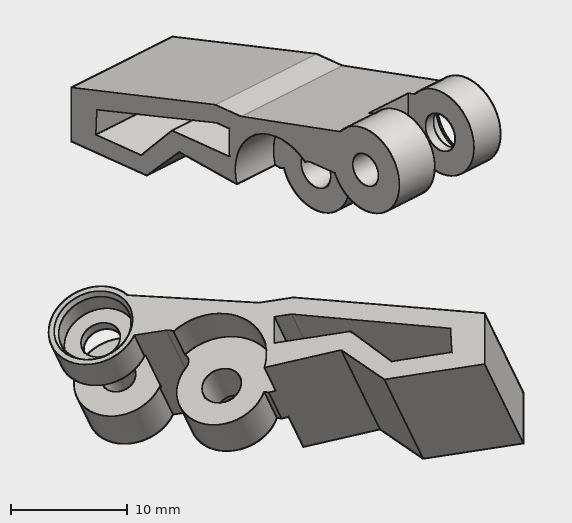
import cadquery as cq
import math

LENGTH = 38.68
WIDTH = 12.6
HEIGHT = 14.15

EYE_RADIUS = 4.0
FORK_X = LENGTH - EYE_RADIUS
FORK_Z = HEIGHT - EYE_RADIUS
FORK_HOLE_DIAMETER = 3.0
FRONT_EAR_WIDTH = 4.4
BACK_EAR_WIDTH = 3.33
FORK_GAP = WIDTH - FRONT_EAR_WIDTH - BACK_EAR_WIDTH
FORK_GAP_Y = (FRONT_EAR_WIDTH - BACK_EAR_WIDTH) / 2
FORK_GAP_START = 30.95
RECESS_DIAMETER = 6.42
MOUTH_DIAMETER = 6.95
MOUTH_DEPTH = 0.45
RECESS_FLOOR = 1.0
BACK_HOLE_DIAMETER = 3.5

PIVOT_X = 24.33
PIVOT_Z = 4.5
PIVOT_HOLE_DIAMETER = 3.5
SIDE_CLEARANCE = 0.35
PIVOT_WIDTH = FORK_GAP - 2 * SIDE_CLEARANCE
CLEARANCE_RADIUS = 5.0

TAIL_HEIGHT = 5.25
TAIL_FOOT = 8.9
FLAT_START_X = 16.95
FLAT_END_X = 20.0
FLAT_Z = 9.9
EAR_JOIN_X = 31.68
EAR_JOIN_Z = 12.75
NECK_BOTTOM_Z = 8.5
KNEE_X = 12.73
KNEE_Z = 3.7
WEB_END_X = 20.15
WEB_END_Z = 3.05
NECK_FILLET = 0.95

WINDOW_POINTS = [
    (2.9, 1.75),
    (8.25, 1.75),
    (11.87, 5.5),
    (18.65, 5.5),
    (18.65, 8.2),
    (17.15, 8.2),
    (3.0, 4.2),
]


def across(sketch, width):
    """Extrude an XZ profile symmetrically about the middle of the width."""
    return sketch.extrude(width / 2, both=True)


def cylinder(x, z, radius, width):
    return across(cq.Workplane("XZ").center(x, z).circle(radius), width)


def make_arm():
    fillet_z = NECK_BOTTOM_Z - NECK_FILLET
    reach = EYE_RADIUS + NECK_FILLET
    fillet_x = PIVOT_X + math.sqrt(reach**2 - (fillet_z - PIVOT_Z) ** 2)
    share = EYE_RADIUS / reach
    touch_x = PIVOT_X + share * (fillet_x - PIVOT_X)
    touch_z = PIVOT_Z + share * (fillet_z - PIVOT_Z)
    start_angle = math.pi / 2
    end_angle = math.atan2(touch_z - fillet_z, touch_x - fillet_x) % (2 * math.pi)
    middle_angle = (start_angle + end_angle) / 2
    middle = (
        fillet_x + NECK_FILLET * math.cos(middle_angle),
        fillet_z + NECK_FILLET * math.sin(middle_angle),
    )
    profile = (
        cq.Workplane("XZ")
        .moveTo(0, 0)
        .lineTo(TAIL_FOOT, 0)
        .lineTo(KNEE_X, KNEE_Z)
        .lineTo(WEB_END_X, WEB_END_Z)
        .lineTo(PIVOT_X, PIVOT_Z)
        .lineTo(touch_x, touch_z)
        .threePointArc(middle, (fillet_x, NECK_BOTTOM_Z))
        .lineTo(FORK_X, NECK_BOTTOM_Z)
        .lineTo(FORK_X, FORK_Z)
        .lineTo(EAR_JOIN_X, EAR_JOIN_Z)
        .lineTo(FLAT_END_X, FLAT_Z)
        .lineTo(FLAT_START_X, FLAT_Z)
        .lineTo(0, TAIL_HEIGHT)
        .close()
    )
    window = across(cq.Workplane("XZ").polyline(WINDOW_POINTS).close(), WIDTH)
    return across(profile, WIDTH).cut(window)


def pivot_cylinder(radius):
    """Disc on the pivot axis, centred across the width on the fork gap."""
    return cylinder(PIVOT_X, PIVOT_Z, radius, PIVOT_WIDTH).translate((0, FORK_GAP_Y, 0))


def make_clearance():
    """Side recesses around the pivot boss, closed above by the neck underside."""
    full_disc = cylinder(PIVOT_X, PIVOT_Z, CLEARANCE_RADIUS, WIDTH)
    return full_disc.cut(pivot_cylinder(CLEARANCE_RADIUS))


def make_fork_gap():
    gap_length = LENGTH - FORK_GAP_START
    gap = cq.Workplane("XY").box(gap_length, FORK_GAP, HEIGHT, centered=(False, True, False))
    return gap.translate((FORK_GAP_START, FORK_GAP_Y, 0))


def make_back_ear_bore():
    """Stepped bore in the back ear, with a tapered mouth on its outer face."""
    outer_y = WIDTH / 2
    gap_y = outer_y - BACK_EAR_WIDTH
    floor_y = gap_y + RECESS_FLOOR
    mouth_y = outer_y - MOUTH_DEPTH
    hole_radius = BACK_HOLE_DIAMETER / 2
    recess_radius = RECESS_DIAMETER / 2
    half_section = (
        cq.Workplane("XY")
        .moveTo(0, gap_y)
        .lineTo(hole_radius, gap_y)
        .lineTo(hole_radius, floor_y)
        .lineTo(recess_radius, floor_y)
        .lineTo(recess_radius, mouth_y)
        .lineTo(MOUTH_DIAMETER / 2, outer_y)
        .lineTo(0, outer_y)
        .close()
    )
    bore = half_section.revolve(360, (0, 0, 0), (0, 1, 0))
    return bore.translate((FORK_X, 0, FORK_Z))


result = make_arm().union(cylinder(FORK_X, FORK_Z, EYE_RADIUS, WIDTH))
result = result.cut(make_clearance()).cut(make_fork_gap())
result = result.union(pivot_cylinder(EYE_RADIUS))
result = result.cut(cylinder(PIVOT_X, PIVOT_Z, PIVOT_HOLE_DIAMETER / 2, WIDTH))
result = result.cut(cylinder(FORK_X, FORK_Z, FORK_HOLE_DIAMETER / 2, WIDTH))
result = result.cut(make_back_ear_bore())